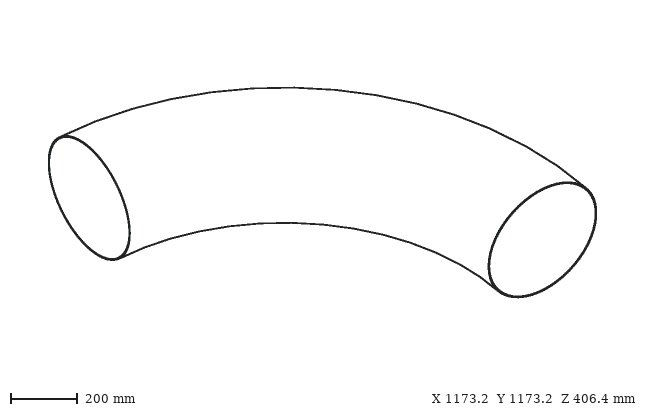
import cadquery as cq

outer_diameter = 406.4
wall_thickness = 4.0
bend_radius = 970.0
bend_angle = 90.0

outer_radius = outer_diameter / 2
inner_radius = outer_radius - wall_thickness


def make_elbow():
    """Sweep the pipe ring round the vertical bend axis, which stands at (bend_radius, 0).

    The start face lies in the XZ plane, centred on the origin.
    The end face looks along +X, at X = bend_radius.
    """
    ring = cq.Workplane("XZ").circle(outer_radius).circle(inner_radius)
    axis_start = (bend_radius, outer_radius)
    axis_end = (bend_radius, 0)
    return ring.revolve(bend_angle, axis_start, axis_end)


result = make_elbow()